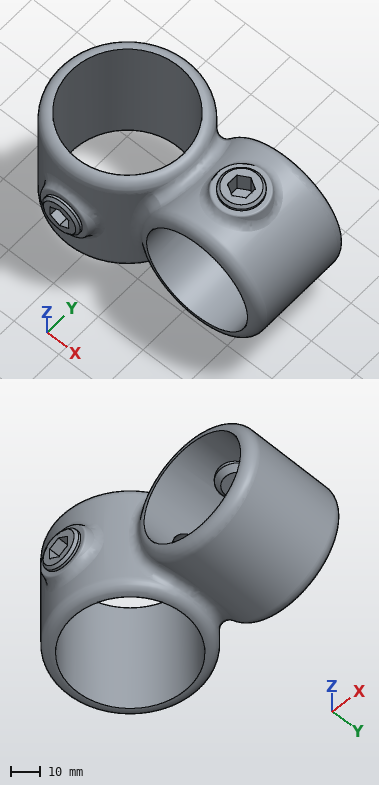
import cadquery as cq
import math

OVERALL_LENGTH = 108.3

VERTICAL_RADIUS = 30.0
VERTICAL_BORE_RADIUS = 25.0
VERTICAL_LENGTH = 50.7

HORIZONTAL_RADIUS = 27.4
HORIZONTAL_BORE_RADIUS = 22.5
HORIZONTAL_LENGTH = 45.0

AXIS_SPACING = OVERALL_LENGTH - VERTICAL_RADIUS - HORIZONTAL_RADIUS
END_ROUNDING = 4.5
JUNCTION_FILLET = 3.6
PASSAGE_RADIUS = 8.9

BOSS_RISE = 2.4
BOSS_TOP_RADIUS = 10.6
BOSS_DRAFT_ANGLE = 18.0
BOSS_ROOT_FILLET = 4.2
BOSS_EDGE_ROUNDING = 0.8
BOSS_REACH = 14.6
BOSS_EXCESS = 4.3

SCREW_RADIUS = 8.3
SCREW_LENGTH = 13.0
SCREW_RISE = 4.4
SCREW_HEAD_CHAMFER = 1.1
SCREW_POINT_RADIUS = 6.2
SCREW_POINT_LENGTH = 2.3
SOCKET_ACROSS_FLATS = 8.2
SOCKET_DEPTH = 8.1


def screw_plane(height):
    """Plane across the screw axis, at a height above the sleeve axis."""
    return cq.Workplane(cq.Plane(origin=(0, -height, 0), xDir=(1, 0, 0), normal=(0, -1, 0)))


def place_horizontal(shape):
    """Lay the sleeve axis along Y with its screw side up, beside the vertical sleeve."""
    return shape.rotate((0, 0, 0), (1, 0, 0), -90).translate((AXIS_SPACING, 0, 0))


def drafted_boss(sleeve_radius):
    """Conical boss from inside the sleeve to BOSS_EXCESS above its final top."""
    base_height = sleeve_radius / 2
    top_height = sleeve_radius + BOSS_RISE
    slope = math.tan(math.radians(BOSS_DRAFT_ANGLE))
    base_radius = BOSS_TOP_RADIUS + slope * (top_height - base_height)
    boss_height = top_height + BOSS_EXCESS - base_height
    return screw_plane(base_height).circle(base_radius).extrude(boss_height, taper=BOSS_DRAFT_ANGLE)


def solid_sleeve(radius, length):
    """Unbored sleeve with rounded ends and a boss that is filleted at its root and faced off flat."""
    body = cq.Workplane("XY").cylinder(length, radius).edges("%CIRCLE").fillet(END_ROUNDING)
    body = body.union(drafted_boss(radius))
    body = body.edges("%BSPLINE").fillet(BOSS_ROOT_FILLET)
    body = body.cut(screw_plane(radius + BOSS_RISE).circle(BOSS_REACH).extrude(2 * BOSS_EXCESS))
    return body.faces("<Y").edges().fillet(BOSS_EDGE_ROUNDING)


def sleeve_cavity(bore_radius, sleeve_radius, length):
    """Bore of a sleeve together with its screw hole."""
    bore = cq.Workplane("XY").cylinder(length, bore_radius)
    screw_hole = screw_plane(0).circle(SCREW_RADIUS).extrude(sleeve_radius + 2 * BOSS_RISE)
    return bore.union(screw_hole)


def make_housing():
    vertical = solid_sleeve(VERTICAL_RADIUS, VERTICAL_LENGTH)
    horizontal = place_horizontal(solid_sleeve(HORIZONTAL_RADIUS, HORIZONTAL_LENGTH))
    housing = vertical.union(horizontal)

    junction_zone = cq.selectors.BoxSelector(
        (BOSS_REACH, -VERTICAL_RADIUS, -HORIZONTAL_RADIUS),
        (AXIS_SPACING - BOSS_REACH, VERTICAL_RADIUS, HORIZONTAL_RADIUS),
    )
    housing = housing.edges("%BSPLINE").edges(junction_zone).fillet(JUNCTION_FILLET)

    vertical_cavity = sleeve_cavity(VERTICAL_BORE_RADIUS, VERTICAL_RADIUS, VERTICAL_LENGTH)
    horizontal_cavity = sleeve_cavity(HORIZONTAL_BORE_RADIUS, HORIZONTAL_RADIUS, HORIZONTAL_LENGTH)
    passage = cq.Workplane("YZ").circle(PASSAGE_RADIUS).extrude(AXIS_SPACING)
    return housing.cut(vertical_cavity).cut(place_horizontal(horizontal_cavity)).cut(passage).solids()


def make_set_screw(sleeve_radius):
    """Screw with a chamfered head, a conical point and a hexagon socket."""
    head_height = sleeve_radius + SCREW_RISE
    shank = screw_plane(head_height - SCREW_LENGTH).circle(SCREW_RADIUS).extrude(SCREW_LENGTH)
    shank = shank.faces("<Y").chamfer(SCREW_HEAD_CHAMFER)
    shank = shank.faces(">Y").chamfer(SCREW_POINT_LENGTH, SCREW_RADIUS - SCREW_POINT_RADIUS)
    socket = (
        screw_plane(head_height - SOCKET_DEPTH)
        .polygon(6, SOCKET_ACROSS_FLATS, circumscribed=True)
        .extrude(SOCKET_DEPTH)
    )
    return shank.cut(socket)


housing = make_housing()
set_screws = [make_set_screw(VERTICAL_RADIUS), place_horizontal(make_set_screw(HORIZONTAL_RADIUS))]

result = cq.Compound.makeCompound([housing.val(), *[screw.val() for screw in set_screws]])